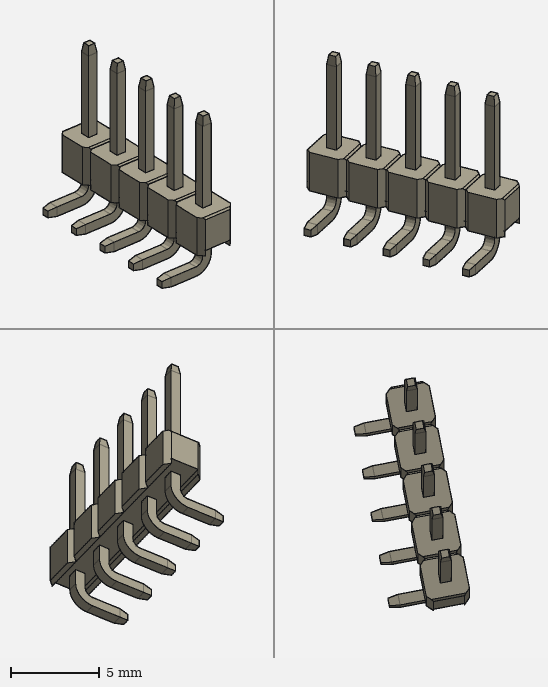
import cadquery as cq

pin_count = 5
pitch = 2.54
row_length = pin_count * pitch
overall_depth = 4.5

housing_depth = 2.5
housing_height = 2.5
corner_chamfer = 0.35
top_bevel = 0.11
channel_height = 0.35
channel_width = housing_depth - 2 * corner_chamfer

pin_width = 0.64
tip_width = 0.45
tip_length = 0.6
bend_radius = 0.51
pin_top = 8.5
pin_bottom = -1.83
pin_reach = overall_depth - housing_depth / 2

half_pin = pin_width / 2
bend_axis_radius = bend_radius + half_pin
foot_axis_z = pin_bottom + half_pin


def housing_cell():
    """One eight-sided housing cell, bevelled along the top edges that face its neighbours."""
    return (
        cq.Workplane("XY")
        .box(pitch, housing_depth, housing_height, centered=(True, True, False))
        .edges("|Z")
        .chamfer(corner_chamfer)
        .faces("<X or >X")
        .edges(">Z")
        .chamfer(top_bevel)
    )


def channel():
    """Open channel running the full row along the housing underside."""
    return cq.Workplane("XY").box(
        row_length, channel_width, channel_height, centered=(True, True, False)
    )


def tapered_tip(base_plane):
    """Four-sided taper rising from the given plane to a smaller square end."""
    return (
        cq.Workplane(base_plane)
        .rect(pin_width, pin_width)
        .workplane(offset=tip_length)
        .rect(tip_width, tip_width)
        .loft(ruled=True)
    )


def pin():
    """Upright, bend and foot swept along the pin axis, with a tapered tip at each end."""
    upright_end_z = pin_top - tip_length
    foot_end_y = tip_length - pin_reach
    bend_centre_z = foot_axis_z + bend_axis_radius

    axis = (
        cq.Workplane("YZ")
        .moveTo(0, upright_end_z)
        .lineTo(0, bend_centre_z)
        .radiusArc((-bend_axis_radius, foot_axis_z), bend_axis_radius)
        .lineTo(foot_end_y, foot_axis_z)
    )
    upper_plane = cq.Plane(origin=(0, 0, upright_end_z), xDir=(1, 0, 0), normal=(0, 0, 1))
    foot_plane = cq.Plane(origin=(0, foot_end_y, foot_axis_z), xDir=(1, 0, 0), normal=(0, -1, 0))
    body = cq.Workplane(upper_plane).rect(pin_width, pin_width).sweep(axis)
    return body.union(tapered_tip(upper_plane)).union(tapered_tip(foot_plane))


cell_centres = [(i - (pin_count - 1) / 2) * pitch for i in range(pin_count)]

housing = cq.Workplane("XY")
for x in cell_centres:
    housing = housing.union(housing_cell().translate((x, 0, 0)))

result = housing.cut(channel())
for x in cell_centres:
    result = result.union(pin().translate((x, 0, 0)))